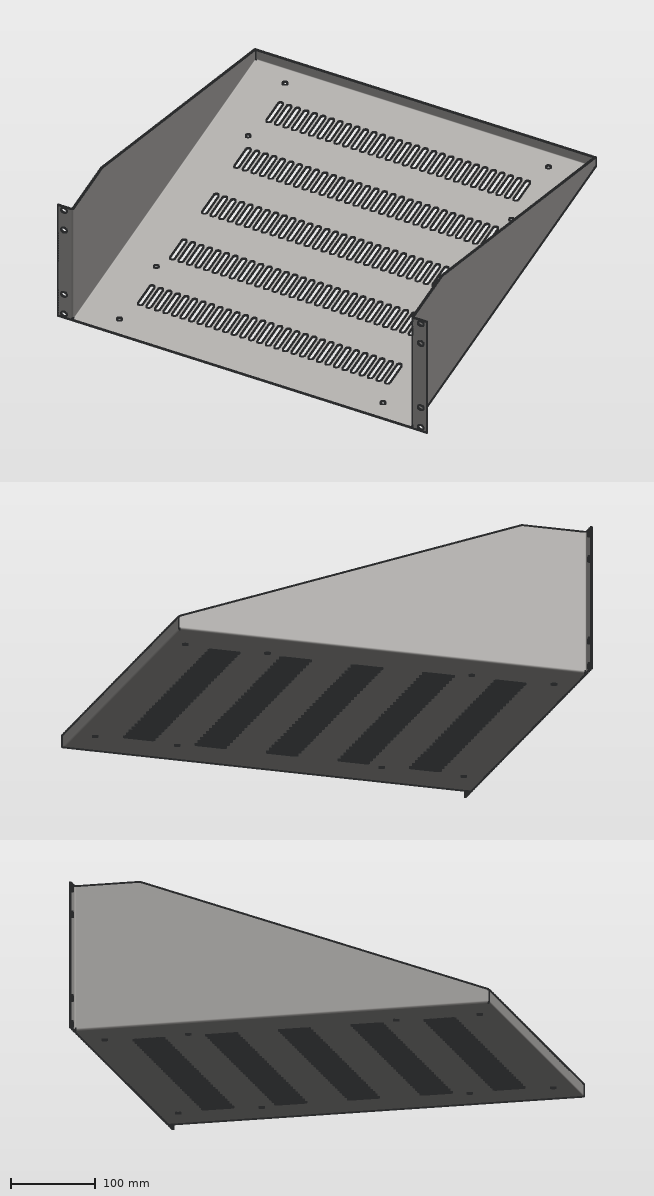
import cadquery as cq

overall_width = 482.5
depth = 508.0
height = 177.0

thickness = 1.5
inner_bend = 1.0
outer_bend = inner_bend + thickness

flange_width = 18.5
flat_top_depth = 81.5
lip_height = 16.0
wall_rear_height = 17.0
wall_outer_x = overall_width / 2 - flange_width
wall_inner_x = wall_outer_x - thickness

flange_hole_diameter = 7.5
flange_hole_x = 233.0
flange_hole_offsets = (51.5, 83.0)

slot_width = 6.0
slot_length = 38.5
slots_per_row = 30
slot_row_length = 323.0
slot_pitch = slot_row_length / (slots_per_row - 1)
slot_rows = 5
slot_row_pitch = 89.0

screw_hole_diameter = 6.0
screw_hole_x = 172.0
screw_hole_offsets = (127.0, 229.0)


def both_signs(offsets):
    """Each offset on both sides of zero."""
    return [sign * offset for offset in offsets for sign in (-1, 1)]


def tray():
    """Floor, side walls and rear lip, joined by bends along three sides of the floor."""
    outer = (
        cq.Workplane("XY")
        .box(2 * wall_outer_x, depth, height, centered=(True, False, False))
        .edges("<Z and (|Y or >Y)")
        .fillet(outer_bend)
    )
    inner = (
        cq.Workplane("XY", origin=(0, 0, thickness))
        .box(2 * wall_inner_x, depth - thickness, height, centered=(True, False, False))
        .edges("<Z and (|Y or >Y)")
        .fillet(inner_bend)
    )
    side_outline = (
        cq.Workplane("YZ", origin=(-wall_outer_x, 0, 0))
        .moveTo(0, 0)
        .lineTo(depth, 0)
        .lineTo(depth, lip_height)
        .lineTo(depth - thickness, lip_height)
        .lineTo(depth - thickness, wall_rear_height)
        .lineTo(flat_top_depth, height)
        .lineTo(0, height)
        .close()
        .extrude(2 * wall_outer_x)
    )
    bend_zone = (
        cq.Workplane("XY", origin=(0, 0, outer_bend))
        .box(2 * wall_outer_x, outer_bend, height, centered=(True, False, False))
    )
    return outer.cut(inner).intersect(side_outline).cut(bend_zone)


def right_flange():
    """Upright flange, bent outward from the front of the right wall."""
    return (
        cq.Workplane("XY")
        .moveTo(wall_inner_x, outer_bend)
        .radiusArc((wall_inner_x + outer_bend, 0), -outer_bend)
        .lineTo(overall_width / 2, 0)
        .lineTo(overall_width / 2, thickness)
        .lineTo(wall_outer_x + inner_bend, thickness)
        .radiusArc((wall_outer_x, outer_bend), inner_bend)
        .close()
        .extrude(height)
    )


def floor_cuts():
    """Slots and screw holes through the floor."""
    middle = cq.Workplane("XY", origin=(0, depth / 2, 0))
    slots = (
        middle.rarray(slot_pitch, slot_row_pitch, slots_per_row, slot_rows)
        .slot2D(slot_length, slot_width, 90)
        .extrude(thickness)
    )
    screw_points = [(x, y) for x in both_signs([screw_hole_x]) for y in both_signs(screw_hole_offsets)]
    screw_holes = middle.pushPoints(screw_points).circle(screw_hole_diameter / 2).extrude(thickness)
    return slots.add(screw_holes).combine()


def flange_holes():
    """Mounting holes through both flanges."""
    points = [(x, z) for x in both_signs([flange_hole_x]) for z in both_signs(flange_hole_offsets)]
    return (
        cq.Workplane("XZ", origin=(0, 0, height / 2))
        .pushPoints(points)
        .circle(flange_hole_diameter / 2)
        .extrude(-thickness)
    )


flange = right_flange()
shelf = tray().union(flange).union(flange.mirror("YZ"))
result = shelf.cut(floor_cuts()).cut(flange_holes())